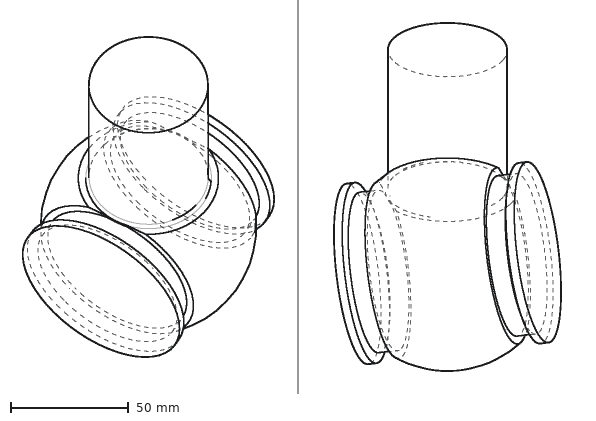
import cadquery as cq

ball_diameter = 92.0
ball_radius = ball_diameter / 2
side_flat_offset = 26.3
top_flat_offset = 35.0

total_height = 147.7
stem_diameter = 50.8
stem_top = total_height - ball_radius
stem_root_fillet = 1.3

flange_span = 79.5
flange_diameter = 77.5
flange_rim = 3.7
flange_taper_length = 1.5
neck_diameter = 68.8


def make_ball():
    """Sphere cut flat on both Y sides and on top."""
    envelope = cq.Workplane("XY").box(
        ball_diameter,
        2 * side_flat_offset,
        ball_radius + top_flat_offset,
    ).translate((0, 0, (top_flat_offset - ball_radius) / 2))
    return cq.Workplane("XY").sphere(ball_radius).intersect(envelope)


def make_stem():
    """Round stem with a small concave fillet at its root."""
    radius = stem_diameter / 2
    return (
        cq.Workplane("XZ")
        .lineTo(radius + stem_root_fillet, 0)
        .lineTo(radius + stem_root_fillet, top_flat_offset)
        .radiusArc((radius, top_flat_offset + stem_root_fillet), stem_root_fillet)
        .lineTo(radius, stem_top)
        .lineTo(0, stem_top)
        .close()
        .revolve(360, (0, 0), (0, 1))
    )


def make_flanged_neck():
    """Neck on the +Y side: plain neck and flange whose back tapers to the neck."""
    neck_radius = neck_diameter / 2
    flange_radius = flange_diameter / 2
    flange_face = flange_span / 2
    rim_back = flange_face - flange_rim
    taper_back = rim_back - flange_taper_length
    return (
        cq.Workplane("XY")
        .lineTo(neck_radius, 0)
        .lineTo(neck_radius, taper_back)
        .lineTo(flange_radius, rim_back)
        .lineTo(flange_radius, flange_face)
        .lineTo(0, flange_face)
        .close()
        .revolve(360, (0, 0), (0, 1))
    )


neck = make_flanged_neck()
result = make_ball().union(make_stem()).union(neck).union(neck.mirror("XZ"))